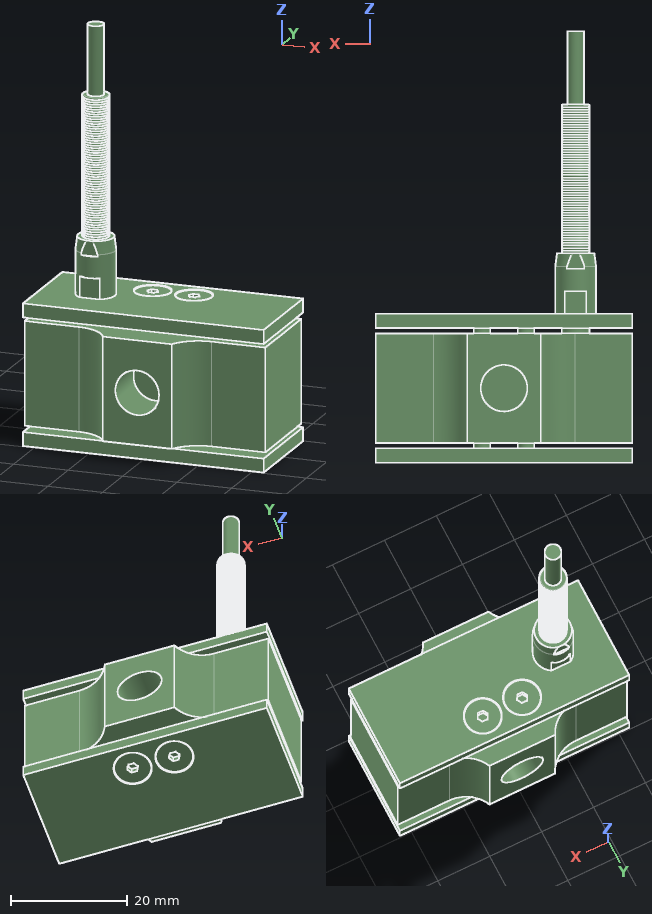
import cadquery as cq
import math

total_height = 74.25
block_length = 44.2
block_height = 18.85
cover_width = 19.5
cover_thickness = 2.5
cover_gap = 0.9

block_bottom = cover_thickness + cover_gap
block_top = block_bottom + block_height
block_middle = block_bottom + block_height / 2
top_cover_bottom = block_top + cover_gap
top_cover_top = top_cover_bottom + cover_thickness

arm_half_width = 8.9
hub_half_width = 12.7
hub_face_half_length = 6.3
arm_start = 12.2

load_hole_diameter = 8.0
load_hole_depth = 8.9

screw_half_spacing = 3.8
screw_y = 5.1
screw_diameter = 2.9
screw_head_diameter = 6.6
screw_head_depth = (screw_head_diameter - screw_diameter) / 2
screw_head_recess = 0.11
socket_corner_diameter = 2.0
socket_depth = 1.1

outlet_x = -12.3
neck_diameter = 4.8
sleeve_diameter = 7.05
sleeve_height = 10.4
sleeve_tip_diameter = 6.45
sleeve_tip_height = 2.3
lower_flat_width = 6.0
lower_flat_height = 3.8
upper_flat_width = 6.4
upper_flat_height = 2.7

spring_diameter = 4.8
spring_height = 25.55
coil_count = 59
cable_diameter = 2.9

sleeve_top = top_cover_top + sleeve_height
spring_top = sleeve_top + spring_height
coil_pitch = spring_height / coil_count


def cylinder(diameter, x, y, bottom, top):
    """Upright cylinder between two heights."""
    return cq.Workplane("XY", origin=(x, y, bottom)).circle(diameter / 2).extrude(top - bottom)


def make_block():
    """Sensor block with a wide hub and a blind load hole in each hub face."""
    arc_run = arm_start - hub_face_half_length
    arc_rise = hub_half_width - arm_half_width
    arc_radius = (arc_run**2 + arc_rise**2) / (2 * arc_rise)
    half_sweep = math.asin(arc_run / arc_radius) / 2
    arc_middle_x = arm_start - arc_radius * math.sin(half_sweep)
    arc_middle_y = arm_half_width + arc_radius * (1 - math.cos(half_sweep))

    quarter_block = (
        cq.Workplane("XY", origin=(0, 0, block_bottom))
        .lineTo(block_length / 2, 0)
        .lineTo(block_length / 2, arm_half_width)
        .lineTo(arm_start, arm_half_width)
        .threePointArc((arc_middle_x, arc_middle_y), (hub_face_half_length, hub_half_width))
        .lineTo(0, hub_half_width)
        .close()
        .extrude(block_height)
    )
    half_block = quarter_block.union(quarter_block.mirror("YZ"))
    block = half_block.union(half_block.mirror("XZ")).clean()

    front_hole = (
        cq.Workplane("XZ", origin=(0, -hub_half_width, block_middle))
        .circle(load_hole_diameter / 2)
        .extrude(-load_hole_depth)
    )
    return block.cut(front_hole).cut(front_hole.mirror("XZ"))


def make_screw_envelope(x):
    """Shank and countersink of a top screw, from the block to the cover surface."""
    shank_radius = screw_diameter / 2
    head_radius = screw_head_diameter / 2
    return (
        cq.Workplane("XZ", origin=(x, screw_y, 0))
        .moveTo(0, block_top)
        .lineTo(shank_radius, block_top)
        .lineTo(shank_radius, top_cover_top - screw_head_depth)
        .lineTo(head_radius, top_cover_top)
        .lineTo(0, top_cover_top)
        .close()
        .revolve(360, (0, 0, 0), (0, 1, 0))
    )


def make_screw(x):
    """Top screw with a hexagon socket and its head just below the cover surface."""
    head_face = top_cover_top - screw_head_recess
    space_above_head = cylinder(screw_head_diameter, x, screw_y, head_face, top_cover_top)
    socket = (
        cq.Workplane("XY", origin=(x, screw_y, head_face))
        .polygon(6, socket_corner_diameter)
        .extrude(-socket_depth)
    )
    return make_screw_envelope(x).cut(space_above_head).cut(socket)


def mirror_to_bottom(shape):
    """Mirror a shape through the middle height of the block."""
    return shape.mirror("XY", (0, 0, block_middle))


def make_sleeve():
    """Outlet sleeve with a tapered tip and two pairs of wrench flats."""
    sleeve = cylinder(sleeve_diameter, outlet_x, 0, top_cover_top, sleeve_top)
    taper = (sleeve_diameter - sleeve_tip_diameter) / 2
    sleeve = sleeve.faces(">Z").chamfer(sleeve_tip_height, taper)

    lower_flat_middle = top_cover_top + lower_flat_height / 2
    upper_flat_middle = sleeve_top - upper_flat_height / 2
    for width, height, middle in (
        (lower_flat_width, lower_flat_height, lower_flat_middle),
        (upper_flat_width, upper_flat_height, upper_flat_middle),
    ):
        for side in (-1, 1):
            flat_y = side * (width + sleeve_diameter) / 2
            cutter = cq.Workplane("XY").box(sleeve_diameter, sleeve_diameter, height)
            sleeve = sleeve.cut(cutter.translate((outlet_x, flat_y, middle)))
    return sleeve


def make_spring():
    """Closely wound spring, as a stack of round coils."""
    coil_radius = coil_pitch / 2
    outer_radius = spring_diameter / 2
    root_radius = outer_radius - coil_radius
    profile = (
        cq.Workplane("XZ", origin=(outlet_x, 0, 0))
        .moveTo(0, sleeve_top)
        .lineTo(root_radius, sleeve_top)
    )
    for coil in range(coil_count):
        coil_bottom = sleeve_top + coil * coil_pitch
        profile = profile.threePointArc(
            (outer_radius, coil_bottom + coil_radius),
            (root_radius, coil_bottom + coil_pitch),
        )
    return profile.lineTo(0, spring_top).close().revolve(360, (0, 0, 0), (0, 1, 0))


def make_sensor():
    """Block with its screws and cable outlet, joined into one solid."""
    sensor = make_block()
    for x in (-screw_half_spacing, screw_half_spacing):
        screw = make_screw(x)
        sensor = sensor.union(screw).union(mirror_to_bottom(screw))

    sensor = sensor.union(cylinder(neck_diameter, outlet_x, 0, block_top, top_cover_top))
    sensor = sensor.union(make_sleeve())
    sensor = sensor.union(make_spring())
    return sensor.union(cylinder(cable_diameter, outlet_x, 0, spring_top, total_height))


def make_screwed_cover():
    """Cover plate at the top, with countersunk screw holes."""
    cover = (
        cq.Workplane("XY", origin=(0, 0, top_cover_bottom))
        .rect(block_length, cover_width)
        .extrude(cover_thickness)
    )
    for x in (-screw_half_spacing, screw_half_spacing):
        cover = cover.cut(make_screw_envelope(x))
    return cover


def make_top_cover():
    """Top cover, with a hole for the neck of the cable outlet."""
    neck_hole = cylinder(neck_diameter, outlet_x, 0, top_cover_bottom, top_cover_top)
    return make_screwed_cover().cut(neck_hole)


def make_bottom_cover():
    """Bottom cover, the mirror image of the screwed cover."""
    return mirror_to_bottom(make_screwed_cover())


sensor = make_sensor()
top_cover = make_top_cover()
bottom_cover = make_bottom_cover()

result = cq.Compound.makeCompound([sensor.val(), top_cover.val(), bottom_cover.val()])